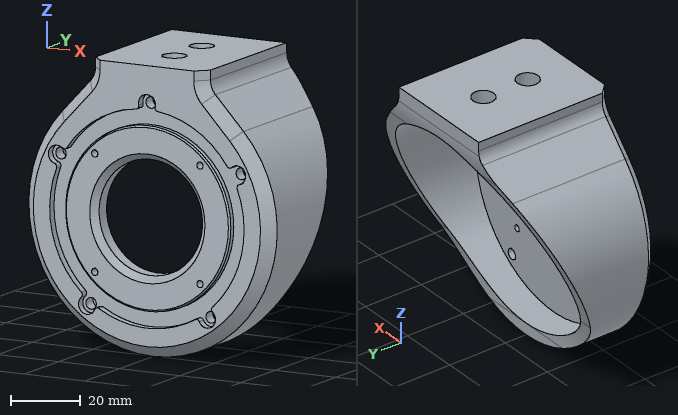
import cadquery as cq
import math


BODY_RADIUS = 40.95
TOTAL_HEIGHT = 85.9
TOTAL_DEPTH = 48.0
NECK_HALF_WIDTH = 19.0
NECK_FILLET = 6.0
NECK_STRAIGHT = 2.9
FRONT_CHAMFER = 3.5
TOP_Z = TOTAL_HEIGHT - BODY_RADIUS

BOTTOM_DEPTH = 16.65
DEPTH_AT_AXIS = 30.2
BACK_SLOPE = 0.49
UPPER_BACK_RADIUS = 17.2
LOWER_BACK_RADIUS = 40.0

WALL_THICKNESS = 6.7
BORE_RADIUS = 17.0
BORE_MOUTH_RADIUS = 19.0
BORE_TAPER_DEPTH = 2.0
CAVITY_RADIUS = 36.9

RECESS_DEPTH = 2.5
RECESS_RADIUS = 32.0
BOSS_RADIUS = 27.2
BOSS_CHAMFER = 0.5
BOSS_SETBACK = 0.3
EAR_RADIUS = 2.75
EAR_FILLET = 1.0

FLANGE_HOLE_ANGLES = (0, 62, 144, -144, -62)
FLANGE_HOLE_CIRCLE = 33.7
FLANGE_HOLE_RADIUS = 1.7
BOSS_HOLE_OFFSET = 17.35
BOSS_HOLE_RADIUS = 1.0
TOP_HOLE_RADIUS = 3.6
TOP_HOLE_PITCH = 16.0
TOP_HOLE_DEPTHS = (TOP_HOLE_PITCH, 2 * TOP_HOLE_PITCH)


def front_plane(y):
    """XZ sketch plane at depth y; extruding by a negative length goes toward +Y."""
    return cq.Workplane("XZ", origin=(0, y, 0))


def cylinder_y(radius, y_start, y_end):
    return front_plane(y_start).circle(radius).extrude(y_start - y_end)


def flange_hole_points():
    return [
        (
            FLANGE_HOLE_CIRCLE * math.sin(math.radians(angle)),
            FLANGE_HOLE_CIRCLE * math.cos(math.radians(angle)),
        )
        for angle in FLANGE_HOLE_ANGLES
    ]


def outline():
    """Round body joined to a square neck by slanted flanks with rounded corners."""
    fillet_x = NECK_HALF_WIDTH + NECK_FILLET
    fillet_z = TOP_Z - NECK_STRAIGHT
    tilt = math.atan2(fillet_x, fillet_z) + math.acos(
        (BODY_RADIUS + NECK_FILLET) / math.hypot(fillet_x, fillet_z)
    )
    body_x = BODY_RADIUS * math.sin(tilt)
    body_z = BODY_RADIUS * math.cos(tilt)
    flank_x = fillet_x - NECK_FILLET * math.sin(tilt)
    flank_z = fillet_z - NECK_FILLET * math.cos(tilt)
    mid_angle = (math.pi / 2 - tilt) / 2
    mid_x = fillet_x - NECK_FILLET * math.cos(mid_angle)
    mid_z = fillet_z - NECK_FILLET * math.sin(mid_angle)
    return (
        front_plane(0)
        .moveTo(-NECK_HALF_WIDTH, TOP_Z)
        .lineTo(NECK_HALF_WIDTH, TOP_Z)
        .lineTo(NECK_HALF_WIDTH, fillet_z)
        .threePointArc((mid_x, mid_z), (flank_x, flank_z))
        .lineTo(body_x, body_z)
        .threePointArc((0, -BODY_RADIUS), (-body_x, body_z))
        .lineTo(-flank_x, flank_z)
        .threePointArc((-mid_x, mid_z), (-NECK_HALF_WIDTH, fillet_z))
        .close()
    )


def body():
    """Outline extruded backward, chamfered in front everywhere but on the top edge."""
    front_edges = cq.selectors.BoxSelector(
        (-BODY_RADIUS - 0.9, -0.9, -BODY_RADIUS - 0.9), (BODY_RADIUS + 0.9, 0.9, TOP_Z - 0.1)
    )
    return outline().extrude(-TOTAL_DEPTH).edges(front_edges).chamfer(FRONT_CHAMFER)


def back_envelope():
    """Side profile: deep at the neck, sloping to a shallow bottom with rounded bends."""
    upper_bend_z = (TOTAL_DEPTH - DEPTH_AT_AXIS) / BACK_SLOPE
    lower_bend_z = (BOTTOM_DEPTH - DEPTH_AT_AXIS) / BACK_SLOPE
    profile_bottom = -2 * BODY_RADIUS
    envelope = (
        cq.Workplane("YZ")
        .polyline(
            [
                (0, TOP_Z),
                (TOTAL_DEPTH, TOP_Z),
                (TOTAL_DEPTH, upper_bend_z),
                (BOTTOM_DEPTH, lower_bend_z),
                (BOTTOM_DEPTH, profile_bottom),
                (0, profile_bottom),
            ]
        )
        .close()
        .extrude(BODY_RADIUS + 0.9, both=True)
    )
    upper_bend = cq.NearestToPointSelector((0, TOTAL_DEPTH, upper_bend_z))
    lower_bend = cq.NearestToPointSelector((0, BOTTOM_DEPTH, lower_bend_z))
    envelope = envelope.edges(upper_bend).fillet(UPPER_BACK_RADIUS)
    return envelope.edges(lower_bend).fillet(LOWER_BACK_RADIUS)


def bore():
    """Through bore with a tapered mouth that starts at the boss face."""
    mouth = (
        front_plane(BOSS_SETBACK)
        .circle(BORE_MOUTH_RADIUS)
        .workplane(offset=-BORE_TAPER_DEPTH)
        .circle(BORE_RADIUS)
        .loft()
    )
    return cylinder_y(BORE_RADIUS, 0, WALL_THICKNESS).union(mouth)


def ear_corner_points():
    """Points where the ear circles cross the round wall of the recess."""
    half_angle = math.acos(
        (RECESS_RADIUS**2 + FLANGE_HOLE_CIRCLE**2 - EAR_RADIUS**2)
        / (2 * RECESS_RADIUS * FLANGE_HOLE_CIRCLE)
    )
    return [
        (RECESS_RADIUS * math.sin(angle), RECESS_RADIUS * math.cos(angle))
        for ear_angle in FLANGE_HOLE_ANGLES
        for angle in (math.radians(ear_angle) - half_angle, math.radians(ear_angle) + half_angle)
    ]


def recess():
    """Round pocket with an ear at each flange hole, leaving the boss standing."""
    pocket = cylinder_y(RECESS_RADIUS, 0, RECESS_DEPTH)
    ears = front_plane(0).pushPoints(flange_hole_points()).circle(EAR_RADIUS).extrude(-RECESS_DEPTH)
    pocket = pocket.union(ears)
    for x, z in ear_corner_points():
        corner = cq.NearestToPointSelector((x, RECESS_DEPTH / 2, z))
        pocket = pocket.edges(corner).fillet(EAR_FILLET)
    boss = (
        cylinder_y(BOSS_RADIUS, BOSS_SETBACK, RECESS_DEPTH)
        .faces("<Y")
        .edges()
        .chamfer(BOSS_CHAMFER)
    )
    return pocket.cut(boss)


def screw_holes():
    flange = front_plane(0).pushPoints(flange_hole_points()).circle(FLANGE_HOLE_RADIUS)
    boss = (
        front_plane(0)
        .rect(2 * BOSS_HOLE_OFFSET, 2 * BOSS_HOLE_OFFSET, forConstruction=True)
        .vertices()
        .circle(BOSS_HOLE_RADIUS)
    )
    return flange.extrude(-WALL_THICKNESS).union(boss.extrude(-WALL_THICKNESS))


def top_holes():
    """Vertical holes from the neck's top face into the cavity."""
    return (
        cq.Workplane("XY")
        .workplane(offset=TOP_Z)
        .pushPoints([(0, depth) for depth in TOP_HOLE_DEPTHS])
        .circle(TOP_HOLE_RADIUS)
        .extrude(-TOP_Z)
    )


cavity = cylinder_y(CAVITY_RADIUS, WALL_THICKNESS, TOTAL_DEPTH)

result = body().intersect(back_envelope())
for cutter in (cavity, bore(), recess(), screw_holes(), top_holes()):
    result = result.cut(cutter)